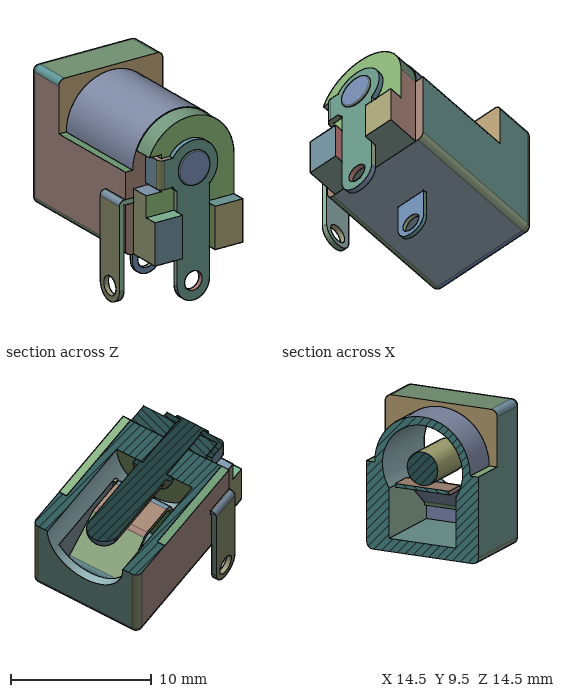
import cadquery as cq
import math


total_length = 14.5
leg_tip_z = -3.8
axis_z = 6.5

housing_length = 11.8
housing_width = 8.99
housing_height = 10.7
front_block_length = 3.5
edge_radius = 0.5
barrel_radius = 3.85
bore_diameter = 6.4
bore_depth = 8.99

pocket_front_x = 0.68
pocket_width = 5.3
pocket_floor_z = 1.0

cap_radius = 3.8
cap_back_x = 13.4
lug_top_z = 3.36
notch_height = 2.87

leg_hole_diameter = 1.5
leg_width = 2.4
leg_hole_height = leg_width / 2

bend_clearance = 0.001

pin_diameter = 2.5
pin_tip_x = 1.19
collar_diameter = 3.2
collar_thickness = 0.4
stem_diameter = 2.0
rivet_diameter = 2.7
rivet_thickness = 0.19
rivet_edge_radius = 0.09
pin_edge_radius = 0.1

spring_thickness = 0.3
spring_top_z = 5.13
spring_bend_radius = 0.7
spring_slope_angle = 38.0
spring_slope_length = 3.51
spring_peak_x = 4.74
spring_width = 4.32
spring_tip_width = 4.7
relief_outer_width = 4.8
ear_top_z = 4.71
plate_back_x = 7.96

side_leg_outer_y = -5.0
side_leg_thickness = 0.4
side_leg_top_z = 4.36
flange_inner_y = -3.48

rear_thickness = 0.4
rear_leg_width = 2.8
rear_leg_hole_height = 1.51
rear_disc_radius = 2.1
tab_height = 2.26
tab_front_x = 12.0
tab_outer_y = -2.9

rear_terminal_back_x = cap_back_x + rear_thickness
tab_inner_y = tab_outer_y + rear_thickness
plate_front_x = plate_back_x - spring_thickness
bend_centre_z = spring_top_z - spring_bend_radius


def box(x_range, y_range, z_range):
    """Axis-aligned block given by its limits along X, Y and Z."""
    (x0, x1), (y0, y1), (z0, z1) = x_range, y_range, z_range
    return cq.Workplane("XY").box(x1 - x0, y1 - y0, z1 - z0, centered=False).translate((x0, y0, z0))


def centred_box(x_range, width, z_range):
    """Block that is symmetric about the plane Y = 0."""
    return box(x_range, (-width / 2, width / 2), z_range)


def axial_cylinder(x_start, x_end, diameter):
    """Cylinder around the plug axis."""
    plane = cq.Plane(origin=(x_start, 0, axis_z), xDir=(0, 1, 0), normal=(1, 0, 0))
    return cq.Workplane(plane).circle(diameter / 2).extrude(x_end - x_start)


def leg(plane_name, centre, width, top_z, thickness, hole_height):
    """Flat leg with a round lower end and a hole, extruded along the plane's normal."""
    radius = width / 2
    round_z = leg_tip_z + radius
    return (
        cq.Workplane(plane_name)
        .moveTo(centre - radius, top_z)
        .lineTo(centre - radius, round_z)
        .threePointArc((centre, leg_tip_z), (centre + radius, round_z))
        .lineTo(centre + radius, top_z)
        .close()
        .moveTo(centre, leg_tip_z + hole_height)
        .circle(leg_hole_diameter / 2)
        .extrude(thickness)
    )


def make_pin():
    nose_centre_x = pin_tip_x + pin_diameter / 2
    nose = cq.Workplane("XY").sphere(pin_diameter / 2).translate((nose_centre_x, 0, axis_z))
    shaft = axial_cylinder(nose_centre_x, bore_depth, pin_diameter)

    collar_front_x = bore_depth - collar_thickness
    collar = axial_cylinder(collar_front_x, bore_depth, collar_diameter)
    collar = collar.faces("<X").edges().fillet(pin_edge_radius)
    root_diameter = pin_diameter + 2 * pin_edge_radius
    root = axial_cylinder(collar_front_x - pin_edge_radius, collar_front_x, root_diameter)
    hollow = (
        cq.Workplane("XY")
        .moveTo(collar_front_x - pin_edge_radius, root_diameter / 2)
        .circle(pin_edge_radius)
        .revolve(360, (0, 0, 0), (1, 0, 0))
        .translate((0, 0, axis_z))
    )
    root = root.cut(hollow)

    stem = axial_cylinder(bore_depth, rear_terminal_back_x, stem_diameter)
    rivet = axial_cylinder(rear_terminal_back_x, rear_terminal_back_x + rivet_thickness, rivet_diameter)
    rivet = rivet.edges("%CIRCLE").fillet(rivet_edge_radius)
    return nose.union(shaft).union(root).union(collar).union(stem).union(rivet)


def bend_point(centre, radius, angle):
    """Point on a bend, the angle measured in degrees from straight up toward the front."""
    turn = math.radians(angle)
    return (centre[0] - radius * math.sin(turn), centre[1] + radius * math.cos(turn))


def make_spring_tongue():
    slope = math.radians(spring_slope_angle)
    outer = spring_bend_radius
    inner = spring_bend_radius - spring_thickness
    heel = (plate_back_x - outer, bend_centre_z)
    peak = (spring_peak_x, bend_centre_z)
    tip = (
        peak[0] - spring_slope_length * math.cos(slope),
        peak[1] - spring_slope_length * math.sin(slope),
    )
    peak_middle = spring_slope_angle / 2
    tip_middle = (spring_slope_angle + 90) / 2
    strip = (
        cq.Workplane("XZ")
        .moveTo(plate_back_x, pocket_floor_z)
        .lineTo(*bend_point(heel, outer, -90))
        .threePointArc(bend_point(heel, outer, -45), bend_point(heel, outer, 0))
        .lineTo(*bend_point(peak, outer, 0))
        .threePointArc(bend_point(peak, outer, peak_middle), bend_point(peak, outer, spring_slope_angle))
        .lineTo(*bend_point(tip, outer, spring_slope_angle))
        .threePointArc(bend_point(tip, outer, tip_middle), bend_point(tip, outer, 90))
        .lineTo(*bend_point(tip, inner, 90))
        .threePointArc(bend_point(tip, inner, tip_middle), bend_point(tip, inner, spring_slope_angle))
        .lineTo(*bend_point(peak, inner, spring_slope_angle))
        .threePointArc(bend_point(peak, inner, peak_middle), bend_point(peak, inner, 0))
        .lineTo(*bend_point(heel, inner, 0))
        .threePointArc(bend_point(heel, inner, -45), bend_point(heel, inner, -90))
        .lineTo(plate_front_x, pocket_floor_z)
        .close()
        .extrude(spring_tip_width / 2, both=True)
    )
    tip_x = tip[0] - outer
    plan = (
        cq.Workplane("XY")
        .polyline([
            (tip_x, -spring_tip_width / 2),
            (spring_peak_x, -spring_width / 2),
            (plate_back_x, -spring_width / 2),
            (plate_back_x, spring_width / 2),
            (spring_peak_x, spring_width / 2),
            (tip_x, spring_tip_width / 2),
        ])
        .close()
        .extrude(spring_top_z)
    )
    return strip.intersect(plan)


def make_spring_contact():
    plate_x = (plate_front_x, plate_back_x)
    plate = centred_box(plate_x, pocket_width, (pocket_floor_z, ear_top_z))
    plate = plate.cut(centred_box(plate_x, relief_outer_width, (bend_centre_z, ear_top_z)))
    spring_leg = leg("YZ", 0, leg_width, pocket_floor_z, spring_thickness, leg_hole_height)
    spring_leg = spring_leg.translate((plate_front_x, 0, 0))
    return plate.union(make_spring_tongue()).union(spring_leg)


def make_side_terminal():
    leg_centre_x = housing_length - leg_width / 2
    side_leg = leg("XZ", leg_centre_x, leg_width, side_leg_top_z, side_leg_thickness, leg_hole_height)
    side_leg = side_leg.translate((0, side_leg_outer_y + side_leg_thickness, 0))
    flange = box(
        (housing_length - leg_width, housing_length),
        (side_leg_outer_y, flange_inner_y),
        (side_leg_top_z - side_leg_thickness, side_leg_top_z),
    )
    terminal = side_leg.union(flange)
    return terminal.faces(">Z").edges("<Y").fillet(side_leg_thickness - bend_clearance)


def make_rear_terminal():
    disc = axial_cylinder(cap_back_x, rear_terminal_back_x, 2 * rear_disc_radius)
    rear_leg = leg("YZ", 0, rear_leg_width, axis_z, rear_thickness, rear_leg_hole_height)
    rear_leg = rear_leg.translate((cap_back_x, 0, 0))
    tab_z = (axis_z - tab_height / 2, axis_z + tab_height / 2)
    arm = box((cap_back_x, rear_terminal_back_x), (tab_outer_y, 0), tab_z)
    tab = box((tab_front_x, rear_terminal_back_x), (tab_outer_y, tab_inner_y), tab_z)
    bent_tab = arm.union(tab).edges("|Z and >X and <Y").fillet(rear_thickness - bend_clearance)
    stem_hole = axial_cylinder(cap_back_x, rear_terminal_back_x, stem_diameter)
    return disc.union(rear_leg).union(bent_tab).cut(stem_hole)


def make_rear_cap():
    cap_x = (housing_length, cap_back_x)
    cap = axial_cylinder(*cap_x, 2 * cap_radius)
    cap = cap.union(centred_box(cap_x, 2 * cap_radius, (0, axis_z)))
    lugs = centred_box((cap_back_x, total_length), 2 * cap_radius, (0, lug_top_z))
    lugs = lugs.cut(centred_box((cap_back_x, total_length), rear_leg_width, (0, lug_top_z)))
    notch_z = (axis_z - notch_height / 2, axis_z + notch_height / 2)
    tab_notch = box(cap_x, (-cap_radius, tab_inner_y), notch_z)
    stem_hole = axial_cylinder(*cap_x, stem_diameter)
    return cap.cut(tab_notch).cut(stem_hole).union(lugs)


def make_housing():
    envelope = centred_box((0, housing_length), housing_width, (0, housing_height))
    envelope = envelope.edges("|X").fillet(edge_radius).faces("<X").edges().fillet(edge_radius)
    above_ledges = centred_box((front_block_length, housing_length), housing_width, (axis_z, housing_height))
    housing = envelope.cut(above_ledges)
    housing = housing.union(axial_cylinder(front_block_length, housing_length, 2 * barrel_radius))
    bore = axial_cylinder(0, bore_depth, bore_diameter)
    pocket = centred_box((pocket_front_x, plate_back_x), pocket_width, (pocket_floor_z, axis_z))
    leg_slot = centred_box((plate_front_x, plate_back_x), leg_width, (0, pocket_floor_z))
    stem_hole = axial_cylinder(bore_depth, housing_length, stem_diameter)
    flange_slot = box(
        (housing_length - leg_width, housing_length),
        (-housing_width / 2, flange_inner_y),
        (side_leg_top_z - side_leg_thickness, side_leg_top_z),
    )
    for opening in (bore, pocket, leg_slot, stem_hole, flange_slot):
        housing = housing.cut(opening)
    return housing


pin = make_pin()
spring_contact = make_spring_contact()
side_terminal = make_side_terminal()
rear_terminal = make_rear_terminal()
rear_cap = make_rear_cap()
housing = make_housing()

result = cq.Compound.makeCompound([
    housing.val(),
    rear_cap.val(),
    pin.val(),
    spring_contact.val(),
    side_terminal.val(),
    rear_terminal.val(),
])